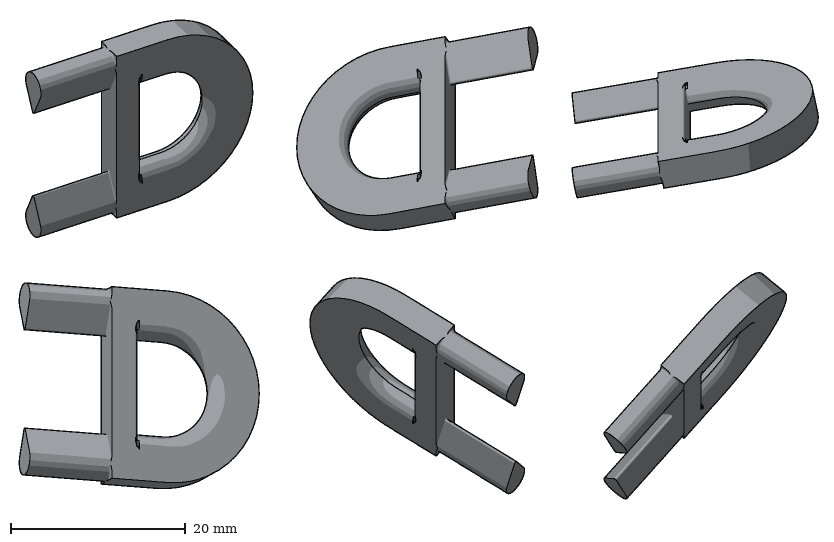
import cadquery as cq
import math

thickness = 3.5
height = 22.4
straight_length = 6.8
window_radius = 7.5
rim_rounding = 2.0
bar_width = 3.13
bar_edge_rounding = 0.27
window_corner_radius = 2.0
window_root_fillet = 0.2

peg_length = 10.0
peg_half_angle = 26.0
peg_tip_radius = 0.22
peg_root_fillet = 0.2

half_thickness = thickness / 2
outer_radius = height / 2
bar_front = -straight_length
bar_back = bar_front + bar_width
peg_radius = half_thickness
peg_center_z = outer_radius - peg_radius


def ring_blank():
    """Solid D: a half disc continued by straight sides down to the bar's peg side."""
    return (
        cq.Workplane("YZ")
        .moveTo(bar_front, -outer_radius)
        .lineTo(0, -outer_radius)
        .threePointArc((outer_radius, 0), (0, outer_radius))
        .lineTo(bar_front, outer_radius)
        .close()
        .extrude(half_thickness, both=True)
    )


def window_section():
    """Upper half of the window's XZ section; two arcs leave a ridge on the ring.

    It reaches past the flat faces so that the rim arcs run smoothly out of the ring.
    """
    reach_x = half_thickness + rim_rounding
    reach_z = window_radius + rim_rounding
    arc_center_x = half_thickness - rim_rounding
    ridge_angle = math.acos(-arc_center_x / rim_rounding)
    ridge_z = window_radius - rim_rounding * math.sin(ridge_angle)
    middle_x = arc_center_x + rim_rounding * math.cos(ridge_angle / 2)
    middle_z = window_radius - rim_rounding * math.sin(ridge_angle / 2)
    return (
        cq.Workplane("XZ")
        .moveTo(-reach_x, 0)
        .lineTo(-reach_x, reach_z)
        .lineTo(-half_thickness, reach_z)
        .lineTo(-half_thickness, window_radius)
        .threePointArc((-middle_x, middle_z), (0, ridge_z))
        .threePointArc((middle_x, middle_z), (half_thickness, window_radius))
        .lineTo(half_thickness, reach_z)
        .lineTo(reach_x, reach_z)
        .lineTo(reach_x, 0)
        .close()
    )


def straight_window():
    """Window between the arc centre and the bar, filleted where the rim meets the bar."""
    upper = window_section().extrude(-bar_back)
    rim_edges = upper.faces("<Y").edges("%CIRCLE")
    upper = rim_edges.fillet(window_root_fillet)
    return upper.union(upper.mirror("XY"))


def bar_edge_cutter():
    """Material taken off one window-side edge of the bar to round it."""
    r = bar_edge_rounding
    arc_offset = r * (1 - math.sqrt(0.5))
    return (
        cq.Workplane("XY")
        .moveTo(half_thickness - r, bar_back)
        .threePointArc((half_thickness - arc_offset, bar_back - arc_offset), (half_thickness, bar_back - r))
        .lineTo(half_thickness, bar_back + r)
        .lineTo(half_thickness - r, bar_back + r)
        .close()
        .extrude(window_radius, both=True)
    )


def window_limit():
    """YZ outline the window stays within; its two corners at the bar are arcs."""
    wall_y = bar_back - bar_edge_rounding
    corner_depth = bar_edge_rounding + window_root_fillet
    angle = math.acos(1 - corner_depth / window_corner_radius)
    wall_z = window_radius - window_corner_radius * math.sin(angle)
    middle_y = wall_y + window_corner_radius * (1 - math.cos(angle / 2))
    middle_z = wall_z + window_corner_radius * math.sin(angle / 2)
    end_y = wall_y + corner_depth
    return (
        cq.Workplane("YZ")
        .moveTo(window_radius, -window_radius)
        .lineTo(end_y, -window_radius)
        .threePointArc((middle_y, -middle_z), (wall_y, -wall_z))
        .lineTo(wall_y, wall_z)
        .threePointArc((middle_y, middle_z), (end_y, window_radius))
        .lineTo(window_radius, window_radius)
        .close()
        .extrude(half_thickness, both=True)
    )


def window():
    round_end = window_section().revolve(180, (0, 0, 0), (-1, 0, 0))
    edge_cutter = bar_edge_cutter()
    cutter = round_end.union(straight_window()).union(edge_cutter).union(edge_cutter.mirror("YZ"))
    return cutter.intersect(window_limit())


def peg_outline():
    """Teardrop in XZ at the bar's peg side, round end up and tip down."""
    sine = math.sin(math.radians(peg_half_angle))
    cosine = math.cos(math.radians(peg_half_angle))
    tip_center_z = peg_center_z - (peg_radius - peg_tip_radius) / sine
    flank_top = (peg_radius * cosine, peg_center_z - peg_radius * sine)
    flank_bottom = (peg_tip_radius * cosine, tip_center_z - peg_tip_radius * sine)
    return (
        cq.Workplane("XZ", origin=(0, bar_front, 0))
        .moveTo(*flank_top)
        .threePointArc((0, outer_radius), (-flank_top[0], flank_top[1]))
        .lineTo(-flank_bottom[0], flank_bottom[1])
        .threePointArc((0, tip_center_z - peg_tip_radius), flank_bottom)
        .close()
    )


def upper_peg():
    """Peg with a root fillet all round, trimmed flush with the ring's flat faces and top."""
    margin = 2 * peg_root_fillet
    plate_depth = bar_width / 2
    plate = cq.Workplane("XY").box(
        thickness + 2 * margin, plate_depth, outer_radius + margin, centered=(True, False, False)
    ).translate((0, bar_front, 0))
    root_plane = cq.selectors.BoxSelector(
        (-half_thickness - margin / 2, bar_front - margin / 2, margin),
        (half_thickness + margin / 2, bar_front + margin / 2, outer_radius + margin / 2),
    )
    filleted = plate.union(peg_outline().extrude(peg_length)).edges(root_plane).fillet(peg_root_fillet)
    envelope = cq.Workplane("XY").box(
        thickness, peg_length + plate_depth, outer_radius, centered=(True, False, False)
    ).translate((0, bar_front - peg_length, 0))
    return filleted.intersect(envelope)


peg = upper_peg()
result = ring_blank().cut(window()).union(peg).union(peg.mirror("XY"))